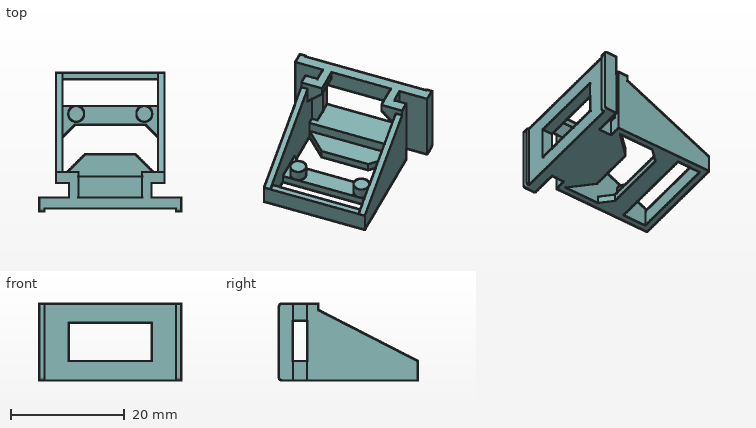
import cadquery as cq

width = 25.0
depth = 24.4
height = 13.5

rim_width = 1.0
rim_depth = 0.5
plate_back = 2.5
rim_radius = 0.55
window_width = 14.55
floor_top = 3.45
window_top = 10.1

neck_width = 14.55
neck_back = 5.0
slot_width = 11.2
neck_bottom = 10.45
bracket_back = 6.95

frame_width = 19.1
wall = 1.2
inner_width = frame_width - 2 * wall
slope_top = 12.4

floor_back = 6.15
slab_top = 1.5
ledge_back = 10.1
ledge_tip_width = 8.8
shelf_front = 15.2
shelf_back = 18.55
shelf_tip_width = 12.4
pin_diameter = 2.8
pin_spacing = 11.95
pin_top = floor_top


def block(x_size, y_start, y_end, z_start, z_end):
    """Box centred on X, placed by its Y and Z limits."""
    return cq.Workplane("XY").box(
        x_size, y_end - y_start, z_end - z_start, centered=(True, False, False)
    ).translate((0, y_start, z_start))


def make_plate():
    plate = block(width, 0, plate_back, 0, height)
    plate = plate.faces("<Y").edges("|X").fillet(rim_radius)
    plate = plate.cut(block(width - 2 * rim_width, 0, rim_depth, 0, height))
    return plate.cut(block(window_width, 0, plate_back, floor_top, window_top))


def make_frame():
    side_outline = [
        (neck_back, 0),
        (depth, 0),
        (depth, floor_top),
        (bracket_back, slope_top),
        (bracket_back, height),
        (neck_back, height),
    ]
    sides = (
        cq.Workplane("YZ").polyline(side_outline).close()
        .extrude(frame_width / 2, both=True)
    )
    sides = sides.cut(block(inner_width, 0, depth, 0, height))
    rear_wall = block(frame_width, depth - wall, depth, 0, floor_top)
    return sides.union(rear_wall)


def bracket_pair(outer, y_start, y_end):
    """Mirrored bars beside the slot, with undersides dropping outward at 45 degrees."""
    inner = slot_width / 2
    inner_bottom = neck_bottom + (neck_width - slot_width) / 2
    outline = [
        (inner, height),
        (inner, inner_bottom),
        (outer, inner_bottom - (outer - inner)),
        (outer, height),
    ]
    bar = (
        cq.Workplane("XZ", origin=(0, y_start, 0)).polyline(outline).close()
        .extrude(y_start - y_end)
    )
    return bar.union(bar.mirror("YZ"))


def make_upper_brackets():
    neck = bracket_pair(neck_width / 2, plate_back, neck_back)
    arms = bracket_pair(inner_width / 2, neck_back, bracket_back)
    return neck.union(arms)


def make_floor():
    neck = block(neck_width, plate_back, neck_back, 0, floor_top)
    return neck.union(block(inner_width, neck_back, floor_back, 0, floor_top))


def make_ledge():
    """Low slab behind the floor, narrowing from the inner width to its tip."""
    tip = ledge_tip_width / 2
    side = inner_width / 2
    outline = [
        (-side, floor_back),
        (side, floor_back),
        (tip, ledge_back),
        (-tip, ledge_back),
    ]
    return cq.Workplane("XY").polyline(outline).close().extrude(slab_top)


def make_shelf():
    """Crossbar between the sides with 45 degree gussets and two pins."""
    tip = shelf_tip_width / 2
    side = inner_width / 2
    gusset_front = shelf_front - (side - tip)
    outline = [
        (-side, gusset_front),
        (-tip, shelf_front),
        (tip, shelf_front),
        (side, gusset_front),
        (side, shelf_back),
        (-side, shelf_back),
    ]
    shelf = cq.Workplane("XY").polyline(outline).close().extrude(slab_top)
    pin_y = shelf_back - pin_diameter / 2
    pins = (
        cq.Workplane("XY")
        .pushPoints([(-pin_spacing / 2, pin_y), (pin_spacing / 2, pin_y)])
        .circle(pin_diameter / 2).extrude(pin_top)
    )
    return shelf.union(pins)


result = (
    make_plate()
    .union(make_frame())
    .union(make_upper_brackets())
    .union(make_floor())
    .union(make_ledge())
    .union(make_shelf())
)